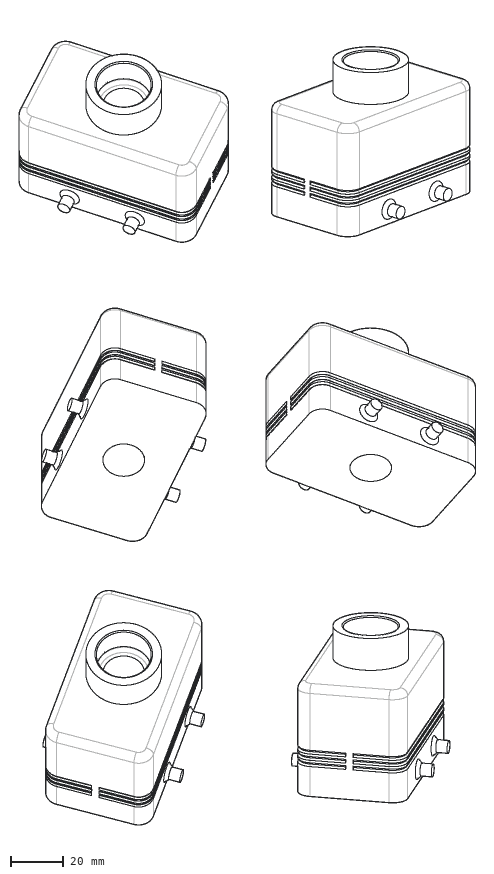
import cadquery as cq

body_length = 73.0
body_width = 43.1
body_height = 45.05
corner_radius = 6.0
top_edge_radius = 3.0

total_height = 58.0
collar_height = total_height - body_height
collar_radius = 14.5
bore_radius = 10.5
bore_chamfer = 0.5
relief_radius = 11.0
relief_height = 2.6
relief_fillet = 1.45
through_hole_radius = 7.95

peg_span = 55.0
peg_spacing = 27.0
peg_height = 6.0
peg_radius = 5.05 / 2
peg_root_radius = 8.0 / 2
peg_cone_length = peg_root_radius - peg_radius

groove_count = 3
groove_pitch = 2.55
groove_width = 1.5
groove_depth = 0.7
lowest_groove_height = 13.0
groove_gap = 3.0


def make_rounded_block():
    """Body block with rounded vertical corners, before its top edge is rounded."""
    return (
        cq.Workplane("XY")
        .rect(body_length, body_width)
        .extrude(body_height)
        .edges("|Z")
        .fillet(corner_radius)
    )


def make_body():
    return make_rounded_block().faces(">Z").edges().fillet(top_edge_radius)


def make_groove_cutter(height):
    """V-shaped ring around the body, interrupted at the middle of both end faces."""
    half_groove = groove_width / 2
    side = -body_width / 2
    body_outline = make_rounded_block().faces("<Z").wires()
    ring = (
        cq.Workplane("YZ")
        .polyline([
            (side, -half_groove),
            (side + groove_depth, 0),
            (side, half_groove),
        ])
        .close()
        .sweep(body_outline)
    )
    plain_strip = cq.Workplane("XY").box(2 * body_length, groove_gap, 2 * groove_width)
    return ring.cut(plain_strip).translate((0, 0, height))


def make_peg_pair(x):
    """Two opposed pegs with conical roots, revolved as one pin through the body."""
    half_span = peg_span / 2
    root = body_width / 2
    cone_end = root + peg_cone_length
    return (
        cq.Workplane("XY", origin=(x, 0, peg_height))
        .polyline([
            (0, -half_span),
            (peg_radius, -half_span),
            (peg_radius, -cone_end),
            (peg_root_radius, -root),
            (peg_root_radius, root),
            (peg_radius, cone_end),
            (peg_radius, half_span),
            (0, half_span),
        ])
        .close()
        .revolve(360, (0, 0, 0), (0, 1, 0))
    )


def make_bore_cutter():
    """Chamfered bore, wider relief with a rounded floor, and the through hole below."""
    bore = (
        cq.Workplane("XY", origin=(0, 0, total_height))
        .circle(bore_radius)
        .extrude(relief_height - collar_height)
    )
    mouth = (
        cq.Workplane("XY", origin=(0, 0, total_height))
        .circle(bore_radius + bore_chamfer)
        .extrude(-bore_chamfer, taper=45)
    )
    relief = (
        cq.Workplane("XY", origin=(0, 0, body_height))
        .circle(relief_radius)
        .extrude(relief_height)
        .faces("<Z")
        .edges()
        .fillet(relief_fillet)
    )
    hole = cq.Workplane("XY").circle(through_hole_radius).extrude(total_height)
    return bore.union(mouth).union(relief).union(hole)


result = make_body()
for groove in range(groove_count):
    result = result.cut(make_groove_cutter(lowest_groove_height + groove * groove_pitch))

collar = cq.Workplane("XY").circle(collar_radius).extrude(total_height)
result = result.union(collar)
for peg_x in (-peg_spacing / 2, peg_spacing / 2):
    result = result.union(make_peg_pair(peg_x))
result = result.cut(make_bore_cutter())